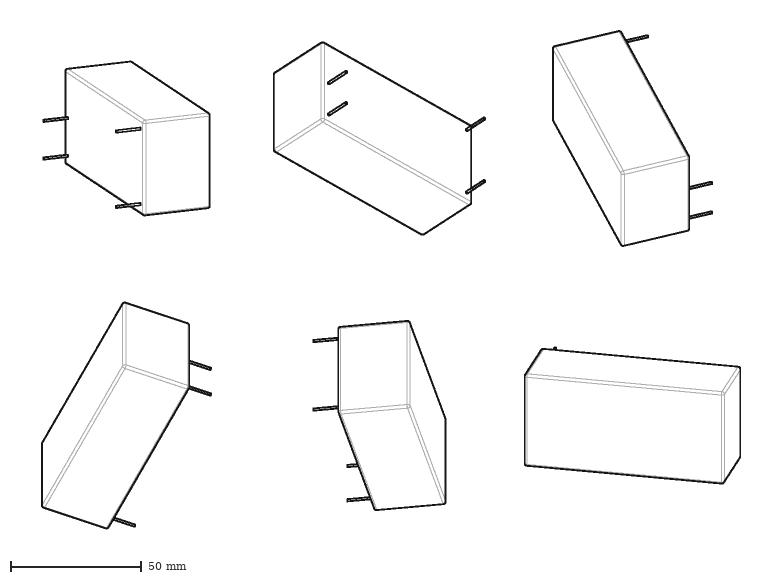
import cadquery as cq

body_length = 78.7
body_height = 38.1
body_depth = 27.9
edge_radius = 1.0

pin_diameter = 0.95
pin_length = 10.0
pin_span_x = 72.4
pin_row_pitch = 15.0
pin_shift_x = 0.1
pin_shift_z = 0.1

left_column = pin_shift_x - pin_span_x / 2
right_column = pin_shift_x + pin_span_x / 2
middle_row = pin_shift_z
bottom_row = middle_row - pin_row_pitch
top_row = middle_row + pin_row_pitch

pin_positions = [
    (left_column, middle_row),
    (left_column, bottom_row),
    (right_column, bottom_row),
    (right_column, top_row),
]

body = cq.Workplane("XY").box(body_length, body_depth, body_height).edges().fillet(edge_radius)

pins = (
    cq.Workplane("XZ")
    .pushPoints(pin_positions)
    .circle(pin_diameter / 2)
    .extrude(body_depth / 2 + pin_length)
)

result = body.union(pins)